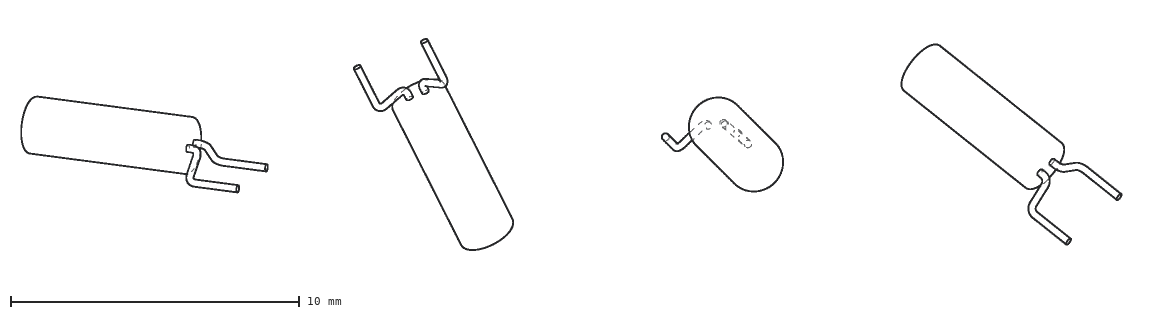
import cadquery as cq
import math

can_length = 6.0
can_diameter = 2.0
can_edge_radius = 0.1

wire_diameter = 0.26
exit_spacing = 0.6
tip_spacing = 2.54
tip_drop = 0.89
bend_radius = 0.26
exit_straight = 0.17
lead_length = 2.3


def make_can():
    can = cq.Workplane("YZ").circle(can_diameter / 2).extrude(can_length)
    return can.edges().fillet(can_edge_radius)


def make_lead(side):
    """Wire that bends outward and down, then back parallel to X; side is +1 or -1 along Y."""
    exit_y = side * exit_spacing / 2
    spread = side * (tip_spacing - exit_spacing) / 2
    offset = math.hypot(spread, tip_drop)
    offset_direction = cq.Vector(0, spread / offset, -tip_drop / offset)
    x_direction = cq.Vector(1, 0, 0)

    bend_plane = cq.Plane(
        origin=(can_length, exit_y, 0),
        xDir=x_direction,
        normal=x_direction.cross(offset_direction),
    )
    riser_x = exit_straight + bend_radius
    second_bend_end_x = riser_x + bend_radius
    path = (
        cq.Workplane(bend_plane)
        .lineTo(exit_straight, 0)
        .tangentArcPoint((riser_x, bend_radius), relative=False)
        .lineTo(riser_x, offset - bend_radius)
        .tangentArcPoint((second_bend_end_x, offset), relative=False)
        .lineTo(lead_length, offset)
    )
    section = cq.Workplane("YZ", origin=(can_length, exit_y, 0)).circle(wire_diameter / 2)
    return section.sweep(path)


result = make_can()
for side in (1, -1):
    result = result.union(make_lead(side))